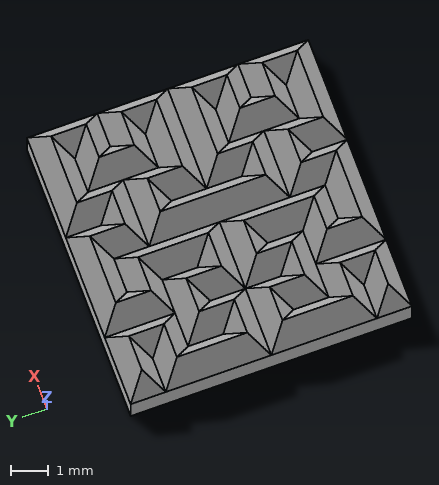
import cadquery as cq

side = 8.0
cells = 8
pitch = side / cells
half_width = pitch / 2
base_height = 1.0
groove_depth = 1.0
total_height = base_height + groove_depth

cutter_height = 1.5 * groove_depth
cutter_reach = cutter_height * half_width / groove_depth

front_half_grooves = [
    ((0, 0), (8, 0)),
    ((0, 1), (1, 1)),
    ((3, 1), (4, 1)),
    ((6, 1), (7, 1)),
    ((1, 2), (3, 2)),
    ((4, 2), (6, 2)),
    ((7, 2), (8, 2)),
    ((6, 3), (7, 3)),
    ((1, 2), (1, 3)),
    ((2, 0), (2, 2)),
    ((3, 2), (3, 3)),
    ((5, 0), (5, 1)),
    ((6, 1), (6, 3)),
]
middle_grooves = [
    ((0, 0), (0, 8)),
    ((8, 0), (8, 8)),
    ((0, 4), (4, 4)),
    ((5, 4), (8, 4)),
    ((2, 3), (2, 5)),
    ((4, 1), (4, 7)),
    ((5, 3), (5, 5)),
]


def mirror_to_back(groove):
    """Return the groove reflected about the middle grid line."""
    (start_x, start_y), (end_x, end_y) = groove
    return (start_x, cells - start_y), (end_x, cells - end_y)


def sloped_prism(plane, low, high, across_low, across_high):
    """Prism with a profile that widens upwards from low..high, long enough to span the groove."""
    profile = [(low, base_height)]
    if high > low:
        profile.append((high, base_height))
    profile.append((high + cutter_reach, base_height + cutter_height))
    profile.append((low - cutter_reach, base_height + cutter_height))
    length = across_high - across_low + 2 * cutter_reach
    direction = -1 if plane == "XZ" else 1
    return (
        cq.Workplane(plane)
        .workplane(offset=direction * (across_low - cutter_reach))
        .polyline(profile)
        .close()
        .extrude(direction * length)
    )


def groove_cutter(groove):
    """V-shaped cutter along a groove floor, with ends sloped like its sides."""
    (start_x, start_y), (end_x, end_y) = groove
    x_low, x_high = sorted((start_x * pitch, end_x * pitch))
    y_low, y_high = sorted((start_y * pitch, end_y * pitch))
    slopes_in_x = sloped_prism("XZ", x_low, x_high, y_low, y_high)
    slopes_in_y = sloped_prism("YZ", y_low, y_high, x_low, x_high)
    return slopes_in_x.intersect(slopes_in_y)


back_half_grooves = [mirror_to_back(groove) for groove in front_half_grooves]
tile = cq.Workplane("XY").box(side, side, total_height, centered=False)
for groove in front_half_grooves + middle_grooves + back_half_grooves:
    tile = tile.cut(groove_cutter(groove))

result = tile.clean().translate((-side / 2, -side / 2, 0))